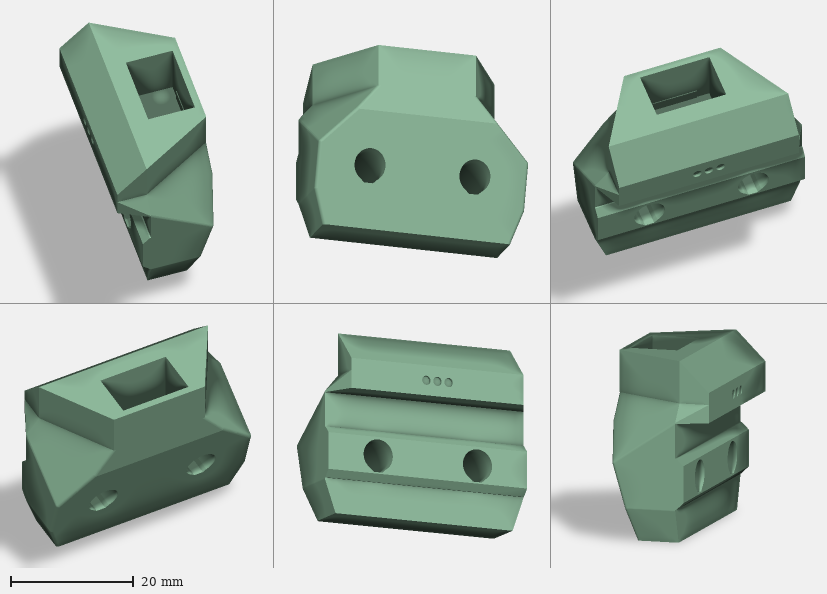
import cadquery as cq
import math

width = 36.0
height = 30.0
back_y = 12.5
lip_reach = 5.0
half_width = width / 2

flare_top = 23.0
flare_angle = 49.5
back_fold_z = 18.6
bottom_back_y = 7.05
taper_top = 5.58
bottom_half_width = 16.05
edge_radius = 0.5

top_half_front = 15.6
top_side_angle = 30.0

lip_bottom = 19.98
lip_front_top = 25.0

rail_center_z = 10.0
rail_height = 8.5
rail_reach = 1.4
rail_chamfer = 1.2

screw_diameter = 5.3
screw_x = 9.0
screw_flank_drop = 2.25
screw_flat_drop = 2.8
screw_flat_width = 1.6

pocket_width = 12.02
pocket_length = 8.0
pocket_back_wall = 1.2
pocket_depth = 10.0

rib_width = 7.65
rib_height = 1.8
rib_reach = 0.15

window_diameter = 1.5
window_pitch = 2.0
window_count = 3
window_depth = 0.5
block_width = 8.2
block_height = 3.0

top_half_back = top_half_front - back_y * math.tan(math.radians(top_side_angle))
pocket_back_y = back_y - pocket_back_wall
pocket_front_y = pocket_back_y - pocket_length
window_z = (lip_bottom + lip_front_top) / 2


def mirrored_plan(right_points):
    """Close a plan outline given by its points at +X, from front to back."""
    left_points = [(-x, y) for x, y in reversed(right_points)]
    return right_points + left_points


def make_flared_cap(top_points):
    """Frustum below flare_top whose sides run outward and down at flare_angle."""
    spread = flare_top / math.tan(math.radians(flare_angle))
    bottom_points = [(x + spread, y) for x, y in top_points]
    wires = [
        cq.Wire.makePolygon([cq.Vector(x, y, z) for x, y in mirrored_plan(points)], close=True)
        for points, z in ((bottom_points, 0), (top_points, flare_top))
    ]
    return cq.Workplane(cq.Solid.makeLoft(wires, True))


def make_lower_housing():
    side_outline = [
        (0, 0),
        (bottom_back_y, 0),
        (back_y, back_fold_z),
        (back_y, flare_top),
        (0, flare_top),
    ]
    front_outline = [
        (-bottom_half_width, 0),
        (bottom_half_width, 0),
        (half_width, taper_top),
        (half_width, flare_top),
        (-half_width, flare_top),
        (-half_width, taper_top),
    ]
    block = cq.Workplane("YZ").polyline(side_outline).close().extrude(half_width, both=True)
    tapered = cq.Workplane("XZ").polyline(front_outline).close().extrude(-back_y)
    flared = make_flared_cap([(top_half_front, 0), (top_half_back, back_y)])
    tolerance = 0.005
    lower = block.intersect(tapered).intersect(flared)
    rounded = []
    for edge in lower.edges().vals():
        box = edge.BoundingBox()
        on_front = box.ymax < tolerance
        on_top = box.zmin > flare_top - tolerance
        on_bottom = box.zmax < tolerance
        is_back_fold = abs(edge.Center().x) < tolerance
        if not (on_front or on_top or on_bottom or is_back_fold):
            rounded.append(edge)
    return lower.newObject(rounded).fillet(edge_radius)


def make_upper_housing():
    plan = mirrored_plan([(top_half_front, 0), (top_half_back, back_y)])
    return cq.Workplane("XY").workplane(offset=flare_top).polyline(plan).close().extrude(height - flare_top)


def make_lip():
    outline = [
        (0, lip_bottom),
        (-lip_reach, lip_bottom),
        (-lip_reach, lip_front_top),
        (0, height),
    ]
    lip = cq.Workplane("YZ").polyline(outline).close().extrude(top_half_front, both=True)
    shoulder_plan = mirrored_plan([(top_half_front, -lip_reach), (half_width, 0)])
    shoulder = (
        cq.Workplane("XY")
        .workplane(offset=lip_bottom)
        .polyline(shoulder_plan)
        .close()
        .extrude(flare_top - lip_bottom)
    )
    flared = make_flared_cap([(top_half_front, -lip_reach), (top_half_front, 0)])
    return lip.union(shoulder.intersect(flared))


def make_rail():
    half_height = rail_height / 2
    ledge = rail_reach - rail_chamfer
    flat_half = half_height - rail_chamfer
    outline = [
        (0, -half_height),
        (-ledge, -half_height),
        (-rail_reach, -flat_half),
        (-rail_reach, flat_half),
        (-ledge, half_height),
        (0, half_height),
    ]
    outline = [(y, rail_center_z + z) for y, z in outline]
    return cq.Workplane("YZ").polyline(outline).close().extrude(half_width, both=True)


def make_screw_cutter(x):
    radius = screw_diameter / 2
    flank_x = math.sqrt(radius**2 - screw_flank_drop**2)
    flat_half = screw_flat_width / 2
    return (
        cq.Workplane("XZ", origin=(x, -rail_reach, rail_center_z))
        .moveTo(-flank_x, -screw_flank_drop)
        .threePointArc((0, radius), (flank_x, -screw_flank_drop))
        .lineTo(flat_half, -screw_flat_drop)
        .lineTo(-flat_half, -screw_flat_drop)
        .close()
        .extrude(-(back_y + rail_reach))
    )


def make_contact_block():
    length = pocket_front_y + lip_reach - window_depth
    return (
        cq.Workplane("XY")
        .box(block_width, length, block_height)
        .translate((0, pocket_front_y - length / 2, window_z))
    )


def make_pocket_cutter():
    pocket_floor = height - pocket_depth
    pocket = (
        cq.Workplane("XY")
        .box(pocket_width, pocket_length, pocket_depth, centered=(True, False, False))
        .translate((0, pocket_front_y, pocket_floor))
    )
    rib = (
        cq.Workplane("XY")
        .box(rib_width, rib_reach, rib_height, centered=(True, False, False))
        .translate((0, pocket_back_y - rib_reach, pocket_floor))
    )
    return pocket.cut(rib)


def make_window_cutter():
    return (
        cq.Workplane("XZ", origin=(0, -lip_reach, window_z))
        .rarray(window_pitch, 0.35, window_count, 1)
        .circle(window_diameter / 2)
        .extrude(-window_depth)
    )


def make_housing():
    housing = make_lower_housing().union(make_upper_housing()).union(make_lip()).union(make_rail())
    for x in (-screw_x, screw_x):
        housing = housing.cut(make_screw_cutter(x))
    return housing.cut(make_pocket_cutter()).cut(make_window_cutter()).cut(make_contact_block())


housing = make_housing()
contact_block = make_contact_block()

result = cq.Compound.makeCompound([housing.val(), contact_block.val()])